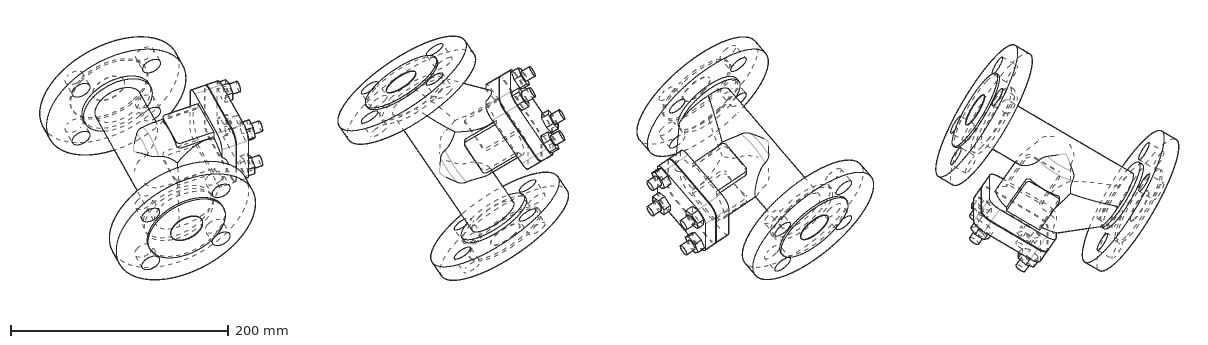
import cadquery as cq
import math

total_length = 180.0
pipe_radius = 23.0

flange_radius = 70.0
flange_thickness = 16.0
raised_face_radius = 38.9
raised_face_height = 2.0
hub_radius = 34.5
hub_length = 3.6
bolt_circle_radius = 50.0
bolt_hole_count = 4
bolt_hole_diameter = 18.0
first_bolt_angle = 45
bore_diameter = 32.0
bore_recess_depth = 0.5

neck_radius = 29.5
neck_knuckle_radius = 11.7
neck_cone_angle = 42.0
neck_tip_cover = 0.05

branch_angle = 42.0
branch_axis_x = 74.2
branch_start = 3.6

bonnet_width = 73.0
bonnet_corner_radius = 11.2
bonnet_bottom_y = 58.5
bonnet_top_y = 85.5
gasket_y = 73.0
gasket_thickness = 0.5
gasket_inset = 0.5

nut_corner_diameter = 19.8
nut_height = 7.4
stud_diameter = 10.3
stud_top_y = 102.2

pad_width = 36.4
pad_bottom_y = 22.1
pad_face_z = 30.5
pad_corner_radius = 3.5

flange_front_x = total_length / 2 - raised_face_height
flange_back_x = flange_front_x - flange_thickness
stud_offset = bonnet_width / 2 - bonnet_corner_radius


def disc_x(radius, x_start, x_end):
    """Cylinder around the X axis."""
    return cq.Workplane("YZ", origin=(x_start, 0, 0)).circle(radius).extrude(x_end - x_start)


def plane_y(y):
    """Work plane facing +Y with its local axes along +X and -Z."""
    return cq.Workplane(cq.Plane(origin=(0, y, 0), xDir=(1, 0, 0), normal=(0, 1, 0)))


def make_flange():
    """Flange at the +X end with hub, raised face, bolt holes and a shallow bore recess."""
    flange = disc_x(hub_radius, flange_back_x - hub_length, flange_back_x)
    flange = flange.union(disc_x(flange_radius, flange_back_x, flange_front_x))
    flange = flange.union(disc_x(raised_face_radius, flange_front_x, total_length / 2))
    bolt_holes = (
        cq.Workplane("YZ", origin=(flange_back_x, 0, 0))
        .polarArray(bolt_circle_radius, first_bolt_angle, 360, bolt_hole_count)
        .circle(bolt_hole_diameter / 2)
        .extrude(flange_thickness)
    )
    recess = disc_x(bore_diameter / 2, total_length / 2 - bore_recess_depth, total_length / 2)
    return flange.cut(bolt_holes).cut(recess)


def make_neck():
    """Revolved neck; the cone ends where it runs tangent to the pipe, just under its surface."""
    angle = math.radians(neck_cone_angle)
    tangent_radius = pipe_radius - neck_tip_cover
    tip_y = -tangent_radius * math.sin(angle)
    tip_radius = tangent_radius * math.cos(angle)
    corner_y = tip_y + (neck_radius - tip_radius) / math.tan(angle)
    tangent_length = neck_knuckle_radius * math.tan(angle / 2)
    knuckle_start_y = corner_y + tangent_length
    knuckle_centre_radius = neck_radius - neck_knuckle_radius

    def knuckle_point(turn):
        return (
            knuckle_centre_radius + neck_knuckle_radius * math.cos(turn),
            knuckle_start_y - neck_knuckle_radius * math.sin(turn),
        )

    return (
        cq.Workplane("XY")
        .moveTo(0, bonnet_bottom_y)
        .lineTo(neck_radius, bonnet_bottom_y)
        .lineTo(neck_radius, knuckle_start_y)
        .threePointArc(knuckle_point(angle / 2), knuckle_point(angle))
        .lineTo(tip_radius, tip_y)
        .lineTo(0, tip_y)
        .close()
        .revolve(360, (0, 0, 0), (0, 1, 0))
    )


def make_branch():
    """Slanted cylinder from the +X flange up to the neck axis inside the bonnet."""
    angle = math.radians(branch_angle)
    direction = cq.Vector(-math.cos(angle), math.sin(angle), 0)
    start = cq.Vector(branch_axis_x, 0, 0) + direction * branch_start
    length = branch_axis_x / math.cos(angle) - branch_start
    return cq.Workplane(cq.Solid.makeCylinder(pipe_radius, length, start, direction))


def bonnet_plate(y_start, y_end, inset=0.0):
    """Square plate with rounded corners, normal to Y."""
    width = bonnet_width - 2 * inset
    plate = plane_y(y_start).rect(width, width).extrude(y_end - y_start)
    return plate.edges("|Y").fillet(bonnet_corner_radius - inset)


def make_bonnet():
    """Neck plate, gasket and cover plate."""
    gasket_bottom_y = gasket_y - gasket_thickness / 2
    gasket_top_y = gasket_y + gasket_thickness / 2
    bonnet = bonnet_plate(bonnet_bottom_y, gasket_bottom_y)
    bonnet = bonnet.union(bonnet_plate(gasket_bottom_y, gasket_top_y, gasket_inset))
    return bonnet.union(bonnet_plate(gasket_top_y, bonnet_top_y))


def make_stud(side_x, side_z):
    """Stud and hex nut; nuts on neighbouring corners are turned by a right angle."""
    nut = plane_y(bonnet_top_y).polygon(6, nut_corner_diameter).extrude(nut_height)
    if side_x != side_z:
        nut = nut.rotate((0, 0, 0), (0, 1, 0), 90)
    stud = plane_y(bonnet_top_y).circle(stud_diameter / 2).extrude(stud_top_y - bonnet_top_y)
    return nut.union(stud).translate((side_x * stud_offset, 0, side_z * stud_offset))


def make_pads():
    """Flat pads on the +Z and -Z sides of the neck, as one block through it."""
    height = bonnet_bottom_y - pad_bottom_y
    block = plane_y(pad_bottom_y).rect(pad_width, 2 * pad_face_z).extrude(height)
    return block.faces("<Y").edges("|Z").fillet(pad_corner_radius)


end_flange = make_flange()

result = disc_x(pipe_radius, -flange_back_x, flange_back_x)
result = result.union(make_neck())
result = result.union(make_pads())
result = result.union(make_branch())
result = result.union(make_bonnet())
result = result.union(end_flange)
result = result.union(end_flange.mirror("YZ"))
for side_x in (-1, 1):
    for side_z in (-1, 1):
        result = result.union(make_stud(side_x, side_z))